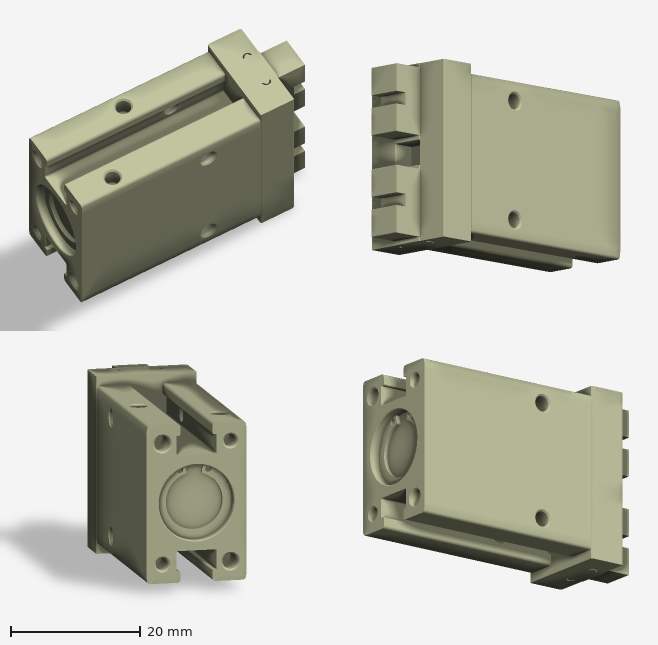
import cadquery as cq
import math


total_length = 43.5
width = 16.0
half_width = width / 2

body_length = 32.3
body_half_height = 12.53
body_corner_radius = 0.5
side_shoulder_radius = 5.0
side_shoulder_height = 1.55

slot_mouth_half_width = 2.55
slot_inner_half_width = 3.2
slot_floor_z = 7.53
slot_lip_z = 10.7
slot_mouth_radius = 0.5
slot_lip_radius = 0.2
slot_floor_radius = 0.2

flange_end_y = 38.35
flange_half_height = 14.0
flange_front_chamfer = 0.15
flange_end_chamfer_y = 0.25
flange_end_chamfer_x = 0.1

bore_radius = 6.0
bore_chamfer = 0.15
ring_depth = 1.52
ring_thickness = 0.7
ring_inner_radius = 4.52
ring_gap_half_angle = 14.6
ring_end_radius = 0.4
eye_diameter = 1.0
eye_x = 2.25
eye_z = 4.9
relief_radius = 5.75
relief_centre_z = -0.85
relief_start_angle = 60.0
relief_end_radius = 0.3
relief_depth = 0.1

hole_diameter = 2.5
small_hole_diameter = 2.0
countersink = 0.25
hole_x = 5.45
end_hole_z = 9.53
end_hole_depth = 5.0
side_hole_y = 22.9
side_hole_z = 9.35
port_depth = 3.0
port_places = [(-hole_x, 15.55), (hole_x, 7.0)]

jaw_half_width = 2.75
guide_front_y = 34.8
guide_end_y = 38.5
guide_inner_z = 2.0
guide_end_chamfer = 0.15
finger_inset = 0.65
finger_tip_chamfer = 0.1
finger_notch = 2.0
rail_centre_y = 36.4
rail_height = 0.52
rail_half_base = 0.65
rail_half_crest = 0.17
race_radius = 0.8

TOP = 1
BOTTOM = -1


def box(x_min, x_max, y_min, y_max, z_min, z_max):
    size = (x_max - x_min, y_max - y_min, z_max - z_min)
    return cq.Workplane("XY").box(*size, centered=False).translate((x_min, y_min, z_min))


def end_plane(y=0.0):
    """XZ sketch plane at the given Y; extruding by a negative length goes toward +Y."""
    return cq.Workplane("XZ", origin=(0, y, 0))


def polar(radius, degrees_from_top, side=1):
    """Point in the XZ plane at an angle measured from +Z toward +X or -X."""
    angle = math.radians(degrees_from_top)
    return (side * radius * math.sin(angle), radius * math.cos(angle))


def body_blank():
    """Bar with a small corner arc running tangent into a large shoulder arc at each edge."""
    shoulder_x = half_width - side_shoulder_radius
    shoulder_z = body_half_height - side_shoulder_height
    corner_z = body_half_height - body_corner_radius
    tilt = math.asin((corner_z - shoulder_z) / (side_shoulder_radius - body_corner_radius))
    corner_x = shoulder_x + (side_shoulder_radius - body_corner_radius) * math.cos(tilt)

    def on_shoulder(angle):
        return (
            shoulder_x + side_shoulder_radius * math.cos(angle),
            shoulder_z + side_shoulder_radius * math.sin(angle),
        )

    def on_corner(angle):
        return (
            corner_x + body_corner_radius * math.cos(angle),
            corner_z + body_corner_radius * math.sin(angle),
        )

    corner_mid = on_corner((tilt + math.pi / 2) / 2)
    quarter = (
        end_plane()
        .moveTo(0, 0)
        .lineTo(half_width, 0)
        .lineTo(half_width, shoulder_z)
        .threePointArc(on_shoulder(tilt / 2), on_shoulder(tilt))
        .threePointArc(corner_mid, (corner_x, body_half_height))
        .lineTo(0, body_half_height)
        .close()
        .extrude(-body_length)
    )
    half = quarter.union(quarter.mirror("YZ"))
    return half.union(half.mirror("XY")).clean()


def t_slot(side):
    """T-slot with rounded mouth, lips and floor corners."""
    mouth = box(-slot_mouth_half_width, slot_mouth_half_width, 0, body_length, slot_lip_z, body_half_height)
    inner = box(-slot_inner_half_width, slot_inner_half_width, 0, body_length, slot_floor_z, slot_lip_z)
    inner = inner.edges("|Y and <Z").fillet(slot_floor_radius)
    slot = mouth.union(inner)
    lip_zone = cq.selectors.BoxSelector(
        (-slot_mouth_half_width - slot_lip_radius, 0, slot_lip_z - slot_lip_radius),
        (slot_mouth_half_width + slot_lip_radius, body_length, slot_lip_z + slot_lip_radius),
    )
    slot = slot.edges(lip_zone).edges("|Y").fillet(slot_lip_radius)
    rounding_start = body_half_height - slot_mouth_radius
    for x_side in (-1, 1):
        corner = box(0, slot_mouth_radius, 0, body_length, 0, slot_mouth_radius)
        round_edge = end_plane().center(slot_mouth_radius, 0).circle(slot_mouth_radius).extrude(-body_length)
        flare = corner.cut(round_edge).translate((slot_mouth_half_width, 0, rounding_start))
        slot = slot.union(flare if x_side > 0 else flare.mirror("YZ"))
    return slot if side == TOP else slot.mirror("XY")


def flange():
    """Rear block with lightly broken vertical edges."""
    front_x = half_width - flange_front_chamfer
    end_x = half_width - flange_end_chamfer_x
    outline = [
        (front_x, body_length),
        (half_width, body_length + flange_front_chamfer),
        (half_width, flange_end_y - flange_end_chamfer_y),
        (end_x, flange_end_y),
    ]
    outline += [(-x, y) for x, y in reversed(outline)]
    return (
        cq.Workplane("XY", origin=(0, 0, -flange_half_height))
        .polyline(outline)
        .close()
        .extrude(2 * flange_half_height)
    )


def guide_slot():
    """Slot across the flange for the jaw guides, with round blind grooves beside each guide."""
    slot = box(
        -jaw_half_width, jaw_half_width, guide_front_y, flange_end_y, -flange_half_height, flange_half_height
    )
    for bottom_z in (-flange_half_height, guide_inner_z):
        races = (
            cq.Workplane("XY", origin=(0, 0, bottom_z))
            .pushPoints([(-jaw_half_width, rail_centre_y), (jaw_half_width, rail_centre_y)])
            .circle(race_radius)
            .extrude(flange_half_height - guide_inner_z)
        )
        slot = slot.union(races)
    return slot


def countersunk_mouth(radius, chamfer, point, direction):
    """Cone that widens a hole by the chamfer where it meets the face."""
    cone = cq.Solid.makeCone(radius + chamfer, radius, chamfer, point, direction)
    return cq.Workplane("XY").newObject([cone])


def bore():
    """Open end of the cylinder, down to the plug face behind the ring."""
    depth = ring_depth + ring_thickness
    hole = end_plane().circle(bore_radius).extrude(-depth)
    return hole.union(countersunk_mouth(bore_radius, bore_chamfer, cq.Vector(0, 0, 0), cq.Vector(0, 1, 0)))


def drilled_hole(diameter, depth, point, direction):
    """Blind hole with a countersink, from a point on a face into the material."""
    start = cq.Vector(*point)
    along = cq.Vector(*direction)
    drill = cq.Workplane("XY").newObject([cq.Solid.makeCylinder(diameter / 2, depth, start, along)])
    return drill.union(countersunk_mouth(diameter / 2, countersink, start, along))


def ring_relief(side):
    """Shallow crescent in the ring face, between an eccentric circle and the bore."""
    sector = (
        end_plane(ring_depth)
        .polyline([
            (0, 0),
            polar(2 * bore_radius, relief_start_angle, side),
            (side * 2 * bore_radius, -bore_radius),
        ])
        .close()
        .extrude(-relief_depth)
    )
    disc = end_plane(ring_depth).circle(bore_radius).extrude(-relief_depth)
    inside = end_plane(ring_depth).center(0, relief_centre_z).circle(relief_radius).extrude(-relief_depth)
    crescent = sector.intersect(disc).cut(inside)
    cos_start = math.cos(math.radians(relief_start_angle))
    reach = relief_centre_z * cos_start + math.sqrt(
        relief_radius**2 - relief_centre_z**2 * (1 - cos_start**2)
    )
    corner_x, corner_z = polar(reach, relief_start_angle, side)
    corner = cq.selectors.NearestToPointSelector((corner_x, ring_depth + relief_depth / 2, corner_z))
    return crescent.edges("|Y").edges(corner).fillet(relief_end_radius)


def retaining_ring():
    """Internal circlip seated in the bore; it is part of the housing body."""
    ring = end_plane(ring_depth).circle(bore_radius).circle(ring_inner_radius).extrude(-ring_thickness)
    gap = (
        end_plane(ring_depth)
        .polyline([
            (0, 0),
            polar(2 * bore_radius, ring_gap_half_angle, -1),
            polar(2 * bore_radius, ring_gap_half_angle, 1),
        ])
        .close()
        .extrude(-ring_thickness)
    )
    ring = ring.cut(gap)
    for side in (-1, 1):
        tip_x, tip_z = polar(ring_inner_radius, ring_gap_half_angle, side)
        tip = cq.selectors.NearestToPointSelector((tip_x, ring_depth + ring_thickness / 2, tip_z))
        ring = ring.edges("|Y").edges(tip).fillet(ring_end_radius)
    eyes = (
        end_plane(ring_depth)
        .pushPoints([(-eye_x, eye_z), (eye_x, eye_z)])
        .circle(eye_diameter / 2)
        .extrude(-ring_thickness)
    )
    ring = ring.cut(eyes)
    for side in (-1, 1):
        ring = ring.cut(ring_relief(side))
    return ring


def make_housing():
    housing = body_blank()
    for side in (TOP, BOTTOM):
        housing = housing.cut(t_slot(side))
    housing = housing.union(flange()).cut(guide_slot())
    housing = housing.cut(bore()).union(retaining_ring())

    for x_side in (-1, 1):
        for z_side in (TOP, BOTTOM):
            diameter = small_hole_diameter if x_side == z_side else hole_diameter
            point = (x_side * hole_x, 0, z_side * end_hole_z)
            housing = housing.cut(drilled_hole(diameter, end_hole_depth, point, (0, 1, 0)))

    for x_side in (-1, 1):
        for z_side in (TOP, BOTTOM):
            point = (x_side * half_width, side_hole_y, z_side * side_hole_z)
            housing = housing.cut(drilled_hole(hole_diameter, half_width, point, (-x_side, 0, 0)))

    for x, y in port_places:
        housing = housing.cut(drilled_hole(hole_diameter, port_depth, (x, y, body_half_height), (0, 0, -1)))
    return housing


def make_jaw(side):
    """Jaw with a railed guide in the flange slot and a notched finger outside it."""
    guide = box(
        -jaw_half_width, jaw_half_width, guide_front_y, guide_end_y, guide_inner_z, flange_half_height
    )
    guide = guide.edges("|Z and >Y").chamfer(guide_end_chamfer)
    for x_side in (-1, 1):
        crest_x = x_side * (jaw_half_width + rail_height)
        rail = (
            cq.Workplane("XY", origin=(0, 0, guide_inner_z))
            .polyline([
                (0, rail_centre_y - rail_half_base),
                (x_side * jaw_half_width, rail_centre_y - rail_half_base),
                (crest_x, rail_centre_y - rail_half_crest),
                (crest_x, rail_centre_y + rail_half_crest),
                (x_side * jaw_half_width, rail_centre_y + rail_half_base),
                (0, rail_centre_y + rail_half_base),
            ])
            .close()
            .extrude(flange_half_height - guide_inner_z)
        )
        guide = guide.union(rail)

    finger_bottom = guide_inner_z + finger_inset
    finger_top = flange_half_height - finger_inset
    finger = box(
        -jaw_half_width, jaw_half_width, rail_centre_y, total_length, finger_bottom, finger_top
    )
    finger = finger.faces(">Y").edges("|X").chamfer(finger_tip_chamfer)
    notch_middle = (finger_bottom + finger_top) / 2
    notch = box(
        -jaw_half_width,
        jaw_half_width,
        total_length - finger_notch,
        total_length,
        notch_middle - finger_notch / 2,
        notch_middle + finger_notch / 2,
    )
    jaw = guide.union(finger).cut(notch)
    return jaw if side == TOP else jaw.mirror("XY")


housing = make_housing()
jaws = [make_jaw(side) for side in (TOP, BOTTOM)]

result = cq.Compound.makeCompound([housing.val(), *[jaw.val() for jaw in jaws]])